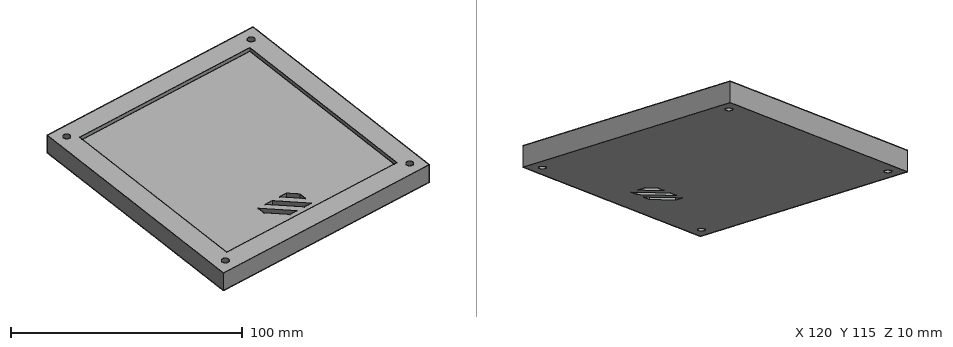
import cadquery as cq

length = 120.0
width = 115.0
height = 10.0

rim = 10.0
recess_depth = 2.0

hole_diameter = 3.4
hole_inset = 6.0

vent_width = 12.0
vent_height = 20.0
vent_center_x = 39.8
vent_center_y = -6.7
slot_count = 3
slot_rise = vent_height / (2 * slot_count - 1)


def make_plate():
    """Plate with its underside on the XY plane."""
    return cq.Workplane("XY").box(length, width, height, centered=(True, True, False))


def make_recess():
    """Shallow pocket that leaves an even rim around the plate."""
    return (
        cq.Workplane("XY")
        .workplane(offset=height - recess_depth)
        .rect(length - 2 * rim, width - 2 * rim)
        .extrude(recess_depth)
    )


def make_corner_holes():
    """Four through holes in the rim corners."""
    return (
        cq.Workplane("XY")
        .rect(length - 2 * hole_inset, width - 2 * hole_inset, forConstruction=True)
        .vertices()
        .circle(hole_diameter / 2)
        .extrude(height)
    )


def make_vent():
    """Through slots rising at 45 degrees toward +X, trimmed by the vent rectangle."""
    left = vent_center_x - vent_width / 2
    right = vent_center_x + vent_width / 2
    bottom = vent_center_y - vent_height / 2
    slots = cq.Workplane("XY")
    for index in range(slot_count):
        low = bottom + (2 * index - 1) * slot_rise
        high = low + slot_rise
        slot = (
            cq.Workplane("XY")
            .moveTo(left, low)
            .lineTo(right, low + vent_width)
            .lineTo(right, high + vent_width)
            .lineTo(left, high)
            .close()
            .extrude(height)
        )
        slots = slots.add(slot)
    window = (
        cq.Workplane("XY")
        .center(vent_center_x, vent_center_y)
        .rect(vent_width, vent_height)
        .extrude(height)
    )
    return window.intersect(slots.combine())


result = make_plate().cut(make_recess()).cut(make_corner_holes()).cut(make_vent())